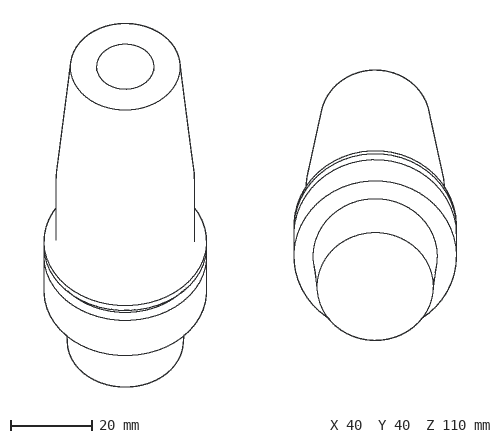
import cadquery as cq
import math

total_height = 110.0
shank_length = 20.0
flange_height = 20.0
flange_top = shank_length + flange_height
nose_length = 44.4
nose_start = total_height - nose_length

flange_radius = 20.0
body_radius = 17.0
nose_tip_radius = 13.5
shank_end_radius = 14.3
shank_top_radius = 15.3
body_fillet = 1.0

groove_floor_radius = 17.5
groove_floor_width = 2.0
shoulder_height = 1.0
shoulder_angle = 30.0
shoulder_inner_radius = flange_radius - shoulder_height / math.tan(math.radians(shoulder_angle))
upper_rim_width = 2.0
groove_top = flange_top - upper_rim_width
floor_top = groove_top - shoulder_height
floor_bottom = floor_top - groove_floor_width
groove_bottom = floor_bottom - shoulder_height

bore_radius = 7.0
bore_depth = nose_length


def holder_body():
    """Revolve the half profile, from the shank end up to the nose tip."""
    arc_offset = body_fillet * (1 - math.sqrt(0.5))
    fillet_middle = (body_radius + arc_offset, flange_top + arc_offset)
    return (
        cq.Workplane("XZ")
        .moveTo(0, 0)
        .lineTo(shank_end_radius, 0)
        .lineTo(shank_top_radius, shank_length)
        .lineTo(flange_radius, shank_length)
        .lineTo(flange_radius, groove_bottom)
        .lineTo(shoulder_inner_radius, floor_bottom)
        .lineTo(groove_floor_radius, floor_bottom)
        .lineTo(groove_floor_radius, floor_top)
        .lineTo(shoulder_inner_radius, floor_top)
        .lineTo(flange_radius, groove_top)
        .lineTo(flange_radius, flange_top)
        .lineTo(body_radius + body_fillet, flange_top)
        .threePointArc(fillet_middle, (body_radius, flange_top + body_fillet))
        .lineTo(body_radius, nose_start)
        .lineTo(nose_tip_radius, total_height)
        .lineTo(0, total_height)
        .close()
        .revolve(360, (0, 0, 0), (0, 1, 0))
    )


def tool_bore():
    """Cylinder removed from the nose tip downward."""
    return (
        cq.Workplane("XY")
        .workplane(offset=total_height - bore_depth)
        .circle(bore_radius)
        .extrude(bore_depth)
    )


result = holder_body().cut(tool_bore())